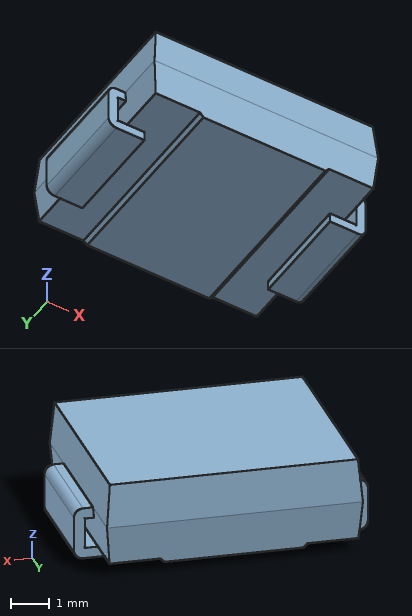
import cadquery as cq

overall_length = 7.95
overall_height = 2.6

body_length = 6.92
body_width = 5.9
parting_height = 1.42
body_bottom = 0.36
draft_angle = 5.0

pad_length = 3.77
pad_bottom = 0.25

lead_width = 3.03
lead_thickness = 0.295
lead_bend_radius = 0.25
foot_length = 1.105


def drafted_half(height):
    """Half of the body, tapering over a signed height from the parting plane."""
    return (
        cq.Workplane("XY")
        .workplane(offset=parting_height)
        .rect(body_length, body_width)
        .extrude(height, taper=draft_angle)
    )


def left_relief():
    """Cutter that raises the underside beside the pad, leaving a sloped pad end."""
    pad_end = -pad_length / 2
    slope_run = body_bottom - pad_bottom
    return (
        cq.Workplane("XZ")
        .moveTo(pad_end, pad_bottom)
        .lineTo(pad_end - slope_run, body_bottom)
        .lineTo(-body_length / 2, body_bottom)
        .lineTo(-body_length / 2, pad_bottom)
        .close()
        .extrude(body_width / 2, both=True)
    )


def left_lead():
    """C-shaped strip leaving the body at the parting plane and folding under it."""
    outer_x = -overall_length / 2
    inner_x = outer_x + lead_thickness
    foot_x = outer_x + foot_length
    return (
        cq.Workplane("XZ")
        .moveTo(foot_x, 0)
        .lineTo(outer_x, 0)
        .lineTo(outer_x, parting_height)
        .lineTo(foot_x, parting_height)
        .lineTo(foot_x, parting_height - lead_thickness)
        .lineTo(inner_x, parting_height - lead_thickness)
        .lineTo(inner_x, lead_thickness)
        .lineTo(foot_x, lead_thickness)
        .close()
        .extrude(lead_width / 2, both=True)
        .edges("|Y and <X")
        .fillet(lead_bend_radius)
    )


body = drafted_half(overall_height - parting_height)
body = body.union(drafted_half(pad_bottom - parting_height))

relief = left_relief()
body = body.cut(relief).cut(relief.mirror("YZ"))

lead = left_lead()
result = body.union(lead).union(lead.mirror("YZ"))